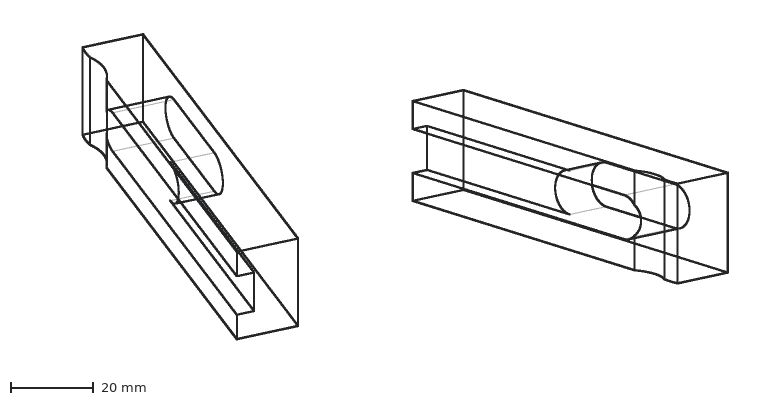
import cadquery as cq

length = 100.0
thickness = 16.0
height = 25.0

nose_length = 5.0
nose_rise = 0.2
hollow_end = 16.0
hollow_radius = 11.0

slot_start = 14.5
slot_end = 51.5
slot_width = 11.0
channel_depth = 4.5


def make_bar():
    """Extrude the bar outline, with its nose and hollow, along Z."""
    return (
        cq.Workplane("XY")
        .moveTo(0, nose_rise)
        .threePointArc((nose_length / 2, 0), (nose_length, nose_rise))
        .radiusArc((hollow_end, 0), hollow_radius)
        .lineTo(length, 0)
        .lineTo(length, thickness)
        .lineTo(0, thickness)
        .close()
        .extrude(height)
    )


def make_slot():
    """Round-ended slot through the full thickness."""
    slot_length = slot_end - slot_start
    return (
        cq.Workplane("XZ")
        .center((slot_start + slot_end) / 2, height / 2)
        .slot2D(slot_length, slot_width)
        .extrude(-thickness)
    )


def make_channel():
    """Shallow channel from the middle of the slot out through the far end."""
    channel_start = (slot_start + slot_end) / 2
    return cq.Workplane("XY").box(
        length - channel_start, channel_depth, slot_width, centered=False
    ).translate((channel_start, 0, (height - slot_width) / 2))


result = make_bar().cut(make_slot()).cut(make_channel())